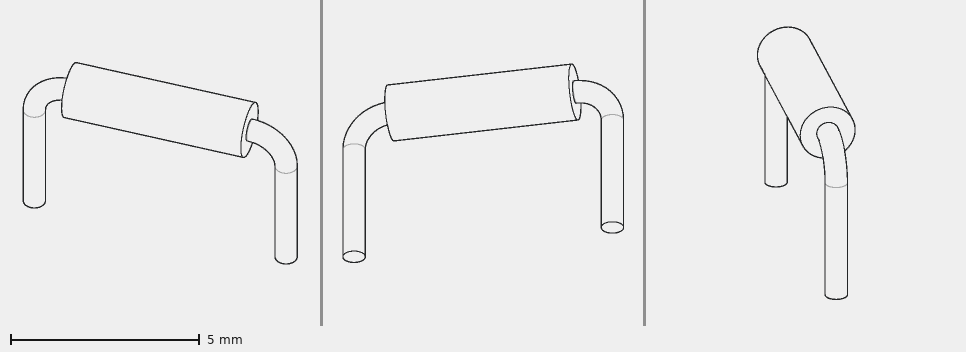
import cadquery as cq

body_diameter = 1.5
body_length = 5.0
lead_diameter = 0.6
overall_length = 7.62
overall_height = 5.05
bend_radius = 1.0

lead_radius = lead_diameter / 2
lead_x = overall_length / 2 - lead_radius

body_left = -lead_x + bend_radius
body_axis_z = overall_height - body_diameter / 2
bend_end_z = body_axis_z - bend_radius


def make_body():
    """Solid cylinder along X, centred on the lead axis."""
    return (
        cq.Workplane("YZ", origin=(body_left, 0, body_axis_z))
        .circle(body_diameter / 2)
        .extrude(body_length)
    )


def make_wire():
    """One continuous round wire: up the left leg, through the body, down the right leg."""
    path = (
        cq.Workplane("XZ", origin=(-lead_x, 0, 0))
        .lineTo(0, bend_end_z)
        .radiusArc((bend_radius, body_axis_z), bend_radius)
        .lineTo(2 * lead_x - bend_radius, body_axis_z)
        .radiusArc((2 * lead_x, bend_end_z), bend_radius)
        .lineTo(2 * lead_x, 0)
    )
    return cq.Workplane("XY", origin=(-lead_x, 0, 0)).circle(lead_radius).sweep(path)


result = make_body().union(make_wire())